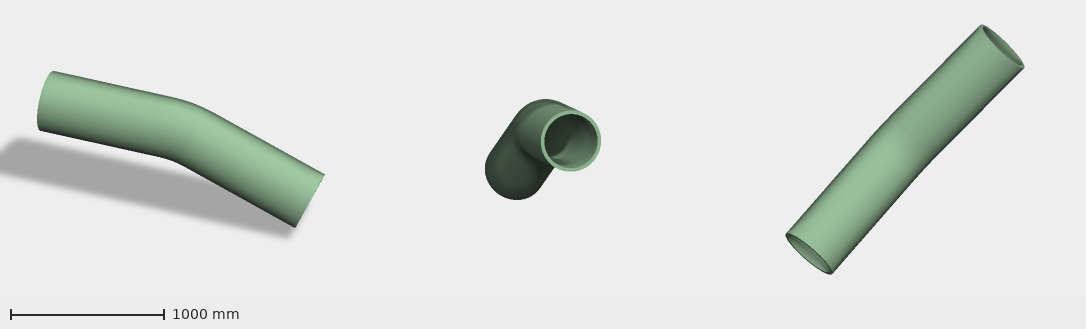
import cadquery as cq
import math

outer_diameter = 400.0
inner_diameter = 353.0

overall_length = 1887.0
bend_angle = 22.0
bend_radius = 1.5 * outer_diameter

angle = math.radians(bend_angle)
bend_run = (bend_radius + outer_diameter / 2) * math.sin(angle)
leg_length = (overall_length - bend_run) / (1 + math.cos(angle))


def bend_point(turn):
    """Point on the bend centreline after turning by the given angle."""
    return (
        leg_length + bend_radius * math.sin(turn),
        bend_radius * (math.cos(turn) - 1),
    )


bend_middle = bend_point(angle / 2)
bend_end = bend_point(angle)
pipe_end = (
    bend_end[0] + leg_length * math.cos(angle),
    bend_end[1] - leg_length * math.sin(angle),
)

centreline = (
    cq.Workplane("XZ")
    .moveTo(0, 0)
    .lineTo(leg_length, 0)
    .threePointArc(bend_middle, bend_end)
    .lineTo(*pipe_end)
)

result = (
    cq.Workplane("YZ")
    .circle(outer_diameter / 2)
    .circle(inner_diameter / 2)
    .sweep(centreline)
)